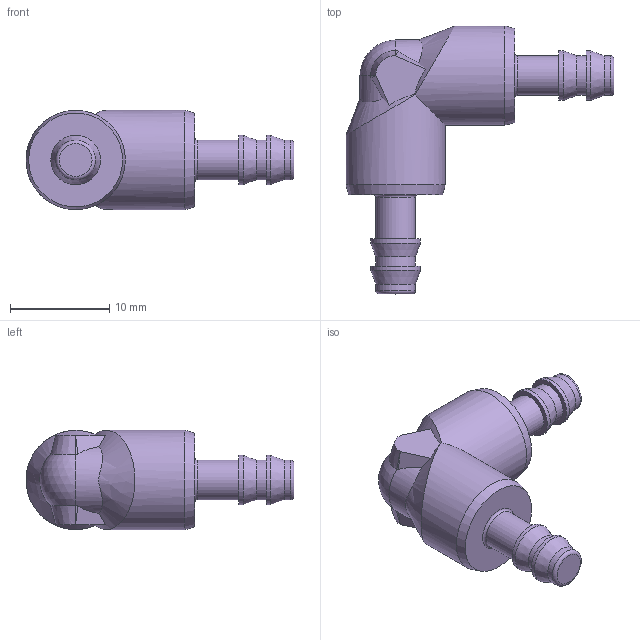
import cadquery as cq
import math

diagonal = math.sqrt(0.5)

leg_length = 22.0

body_radius = 5.0
body_end = 12.0
rim_length = 1.0
rim_angle = 15.0
rim_radius = body_radius - rim_length * math.tan(math.radians(rim_angle))

cut_distance = 3.08
cut_angle = 30.0
taper_height = 2.8
taper_angle = 51.0
taper_inset = taper_height * math.tan(math.radians(taper_angle))
ellipse_major = body_radius / math.cos(math.radians(cut_angle))
ellipse_minor = body_radius

core_radius = 3.6

buried_end = body_end / 2

pad_height = 4.5
pad_radius = 2.0
pad_side_angle = 24.5
pad_side_reach = 4.0
pad_draft = 15.0

stem_radius = 2.0
stem_root_fillet = 0.25
tip_fillet = 0.35
barb_radius = 2.5
barb_starts = (16.45, 19.2)
barb_land = 0.42
barb_length = 1.8


def cut_plane():
    """Plane of the oblique cut, facing the outside of the elbow."""
    angle = math.radians(cut_angle)
    return cq.Plane(
        origin=(0, -cut_distance, 0),
        xDir=(math.cos(angle), math.sin(angle), 0),
        normal=(-math.sin(angle), math.cos(angle), 0),
    )


def make_body():
    """Solid of revolution about -Y, running past the cut plane, then trimmed by it."""
    overrun = body_radius
    body = (
        cq.Workplane("XY")
        .moveTo(0, overrun)
        .lineTo(body_radius, overrun)
        .lineTo(body_radius, -(body_end - rim_length))
        .lineTo(rim_radius, -body_end)
        .lineTo(0, -body_end)
        .close()
        .revolve(360, (0, 0, 0), (0, 1, 0))
    )
    trim_size = 4 * body_radius
    trim = cq.Workplane(cut_plane()).rect(trim_size, trim_size).extrude(trim_size)
    return body.cut(trim)


def make_taper():
    """Elliptical frustum standing on the oblique cut."""
    return (
        cq.Workplane(cut_plane())
        .ellipse(ellipse_major, ellipse_minor)
        .workplane(offset=taper_height)
        .ellipse(ellipse_major - taper_inset, ellipse_minor - taper_inset)
        .loft()
    )


def make_core_arm():
    """Cylinder that carries the core from the elbow into the body."""
    return cq.Workplane("XZ").circle(core_radius).extrude(buried_end)


def make_stem():
    """Barbed hose stem, revolved about the leg axis."""
    root_radius = stem_radius + stem_root_fillet
    root_end = body_end + stem_root_fillet
    tip_center_radius = stem_radius - tip_fillet
    tip_start = leg_length - tip_fillet
    profile = (
        cq.Workplane("XY")
        .moveTo(0, -buried_end)
        .lineTo(root_radius, -buried_end)
        .lineTo(root_radius, -body_end)
        .threePointArc(
            (root_radius - stem_root_fillet * diagonal, -root_end + stem_root_fillet * diagonal),
            (stem_radius, -root_end),
        )
    )
    for start in barb_starts:
        profile = (
            profile.lineTo(stem_radius, -start)
            .lineTo(barb_radius, -start)
            .lineTo(barb_radius, -(start + barb_land))
            .lineTo(stem_radius, -(start + barb_length))
        )
    return (
        profile.lineTo(stem_radius, -tip_start)
        .threePointArc(
            (tip_center_radius + tip_fillet * diagonal, -tip_start - tip_fillet * diagonal),
            (tip_center_radius, -leg_length),
        )
        .lineTo(0, -leg_length)
        .close()
        .revolve(360, (0, 0, 0), (0, 1, 0))
    )


def make_pad():
    """Drafted pad: a quarter round at the outer corner, with sides running into both bodies."""
    side_drop = pad_side_reach * math.tan(math.radians(pad_side_angle))
    side_end = pad_radius - side_drop
    return (
        cq.Workplane("XY", origin=(0, 0, pad_height))
        .moveTo(-pad_radius, 0)
        .threePointArc((-pad_radius * diagonal, pad_radius * diagonal), (0, pad_radius))
        .lineTo(pad_side_reach, side_end)
        .lineTo(-side_end, -pad_side_reach)
        .close()
        .extrude(-pad_height, taper=-pad_draft)
    )


def mirror_across_elbow(leg):
    """Make the +X leg by reflecting the -Y leg in the plane x = -y."""
    return leg.rotate((0, 0, 0), (0, 0, 1), 90).mirror("XZ")


leg = make_body().union(make_taper()).union(make_core_arm()).union(make_stem())
pad = make_pad()

result = (
    leg.union(mirror_across_elbow(leg))
    .union(cq.Workplane("XY").sphere(core_radius))
    .union(pad)
    .union(pad.mirror("XY"))
)